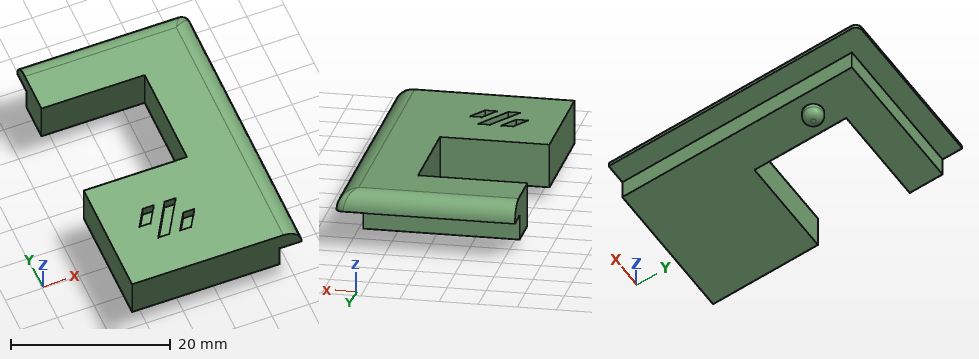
import cadquery as cq

width = 23.0
length = 38.0
plate_height = 5.75
overall_height = 7.45

lip_overhang = 3.0
lip_thickness = 2.5
hairline_flat = 0.005
lip_round = lip_thickness - hairline_flat
corner_round = 1.0

notch_size = 14.0
notch_start_y = 16.0

pin_diameter = 2.8
pin_height = overall_height - plate_height
pin_end_round = 1.05
pin_x = 17.0
pin_y = 27.0

pocket_width = 1.52
pocket_row_height = 2.47
pocket_row_slant = 1.45
pocket_depth = 1.2
pocket_base_y = 5.6
long_pocket_x = 5.8
pocket_offset_x = 2.95


def corner_block(size_x, size_y, bottom_z, height):
    """Block with one corner on the Z axis, reaching toward +X and +Y."""
    return (
        cq.Workplane("XY", origin=(0, 0, bottom_z))
        .rect(size_x, size_y, centered=False)
        .extrude(height)
    )


def make_lip():
    """Top slab with quarter-round outer edges and a softened mitre between them."""
    slab = corner_block(width, length, plate_height - lip_thickness, lip_thickness)
    rounded = slab.faces(">Z").edges(">X or >Y").fillet(lip_round)
    margin = hairline_flat / 2
    corner_box = cq.selectors.BoxSelector(
        (width - lip_round - margin, length - lip_round - margin, 0),
        (width + margin, length + margin, overall_height),
        boundingbox=True,
    )
    return rounded.edges(corner_box).fillet(corner_round)


def make_pin():
    """Round pin with a rounded free end, hanging below the plate."""
    return (
        cq.Workplane("XY", origin=(pin_x, pin_y, 0))
        .circle(pin_diameter / 2)
        .extrude(-pin_height)
        .faces("<Z")
        .edges()
        .fillet(pin_end_round)
    )


def make_pocket(start_x, start_row, rows):
    """Parallelogram cutter spanning a number of half-height rows."""
    bottom_y = pocket_base_y + start_row * pocket_row_height
    top_y = bottom_y + rows * pocket_row_height
    top_x = start_x + rows * pocket_row_slant
    corners = [
        (start_x, bottom_y),
        (start_x + pocket_width, bottom_y),
        (top_x + pocket_width, top_y),
        (top_x, top_y),
    ]
    top_plane = cq.Workplane("XY", origin=(0, 0, plate_height))
    return top_plane.polyline(corners).close().extrude(-pocket_depth)


body = corner_block(width - lip_overhang, length - lip_overhang, 0, plate_height - lip_thickness)
notch = corner_block(notch_size, notch_size, 0, plate_height).translate((0, notch_start_y, 0))

result = body.union(make_lip()).cut(notch).union(make_pin())

upper_pocket_x = long_pocket_x + pocket_row_slant - pocket_offset_x
result = result.cut(make_pocket(long_pocket_x, 0, 2))
result = result.cut(make_pocket(upper_pocket_x, 1, 1))
result = result.cut(make_pocket(long_pocket_x + pocket_offset_x, 0, 1))